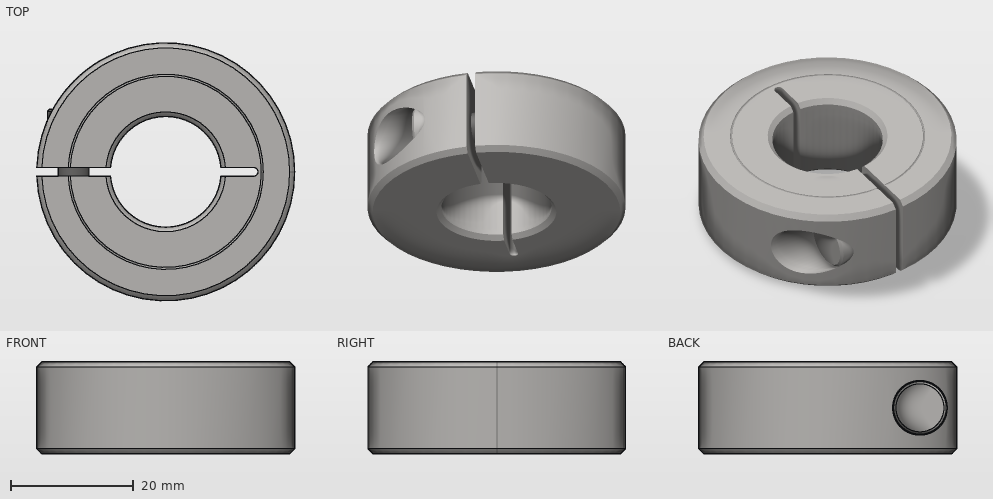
import cadquery as cq

outer_radius = 21.0
bore_radius = 9.0
width = 15.0
edge_chamfer = 0.85
bore_chamfer = 0.75

groove_radius = 15.7
groove_profile_radius = 0.15

slot_width = 1.4
slot_end_x = 15.0

screw_x = -15.0
shank_radius = 2.5
head_radius = 4.3
head_height = 5.0
head_chamfer = 0.38
head_top_y = 10.2
shank_length = 12.0
counterbore_radius = 4.45
seat_y = head_top_y - head_height
shank_tip_y = seat_y - shank_length


def cylinder_along_y(radius, start_y, end_y):
    """Cylinder on the screw axis between two Y positions."""
    return (
        cq.Workplane("XZ", origin=(screw_x, end_y, 0))
        .circle(radius)
        .extrude(end_y - start_y)
    )


def make_ring():
    """Plain ring with chamfered outer and bore edges."""
    ring = cq.Workplane("XY", origin=(0, 0, -width / 2)).circle(outer_radius).extrude(width)
    ring = ring.faces("|Z").edges().chamfer(edge_chamfer)
    bore = cq.Workplane("XY", origin=(0, 0, -width / 2)).circle(bore_radius).extrude(width)
    ring = ring.cut(bore)
    return ring.edges(cq.selectors.RadiusNthSelector(0)).chamfer(bore_chamfer)


def make_groove():
    """Torus cutter centred on the top face, leaving a half-round groove."""
    torus = cq.Solid.makeTorus(groove_radius, groove_profile_radius, cq.Vector(0, 0, width / 2))
    return cq.Workplane("XY").add(torus)


def make_slot():
    """Slot cutter through the full width, rounded at its +X end."""
    half_width = slot_width / 2
    arc_x = slot_end_x - half_width
    return (
        cq.Workplane("XY", origin=(0, 0, -width / 2))
        .moveTo(-outer_radius, -half_width)
        .lineTo(arc_x, -half_width)
        .threePointArc((slot_end_x, 0), (arc_x, half_width))
        .lineTo(-outer_radius, half_width)
        .close()
        .extrude(width)
    )


def make_collar():
    """Slotted ring with a counterbored blind hole for the screw."""
    counterbore = cylinder_along_y(counterbore_radius, seat_y, outer_radius)
    shank_hole = cylinder_along_y(shank_radius, shank_tip_y, seat_y)
    collar_body = make_ring().cut(make_groove()).cut(make_slot())
    return collar_body.cut(counterbore).cut(shank_hole)


def make_screw():
    """Cap screw with a cylindrical head, chamfered at its top edge."""
    head = cylinder_along_y(head_radius, seat_y, head_top_y)
    head = head.faces(">Y").edges().chamfer(head_chamfer)
    shank = cylinder_along_y(shank_radius, shank_tip_y, seat_y)
    return head.union(shank)


collar = make_collar()
screw = make_screw()

result = cq.Compound.makeCompound([collar.val(), screw.val()])